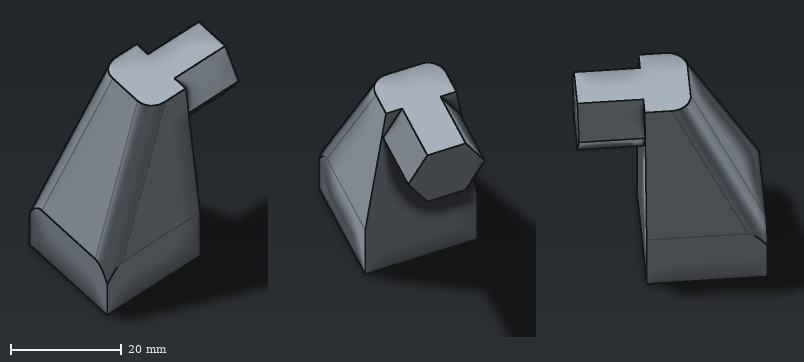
import cadquery as cq
import math

height = 43.2
body_width = 22.0
body_depth = 22.0
top_width = 13.82
top_depth = 8.6
side_break_height = 12.4
front_break_height = 12.7
corner_radius = 3.6
hex_across_flats = 13.0
hex_length = 12.0


def extend_to_base(top_size, size_at_break, break_height):
    """Size of a tapered face pair at Z = 0 when the taper continues straight down."""
    slope = (size_at_break - top_size) / (height - break_height)
    return top_size + slope * height


def tapered_body():
    """Full-height wedge with its two leaning front edges rounded."""
    base_width = extend_to_base(top_width, body_width, side_break_height)
    base_depth = extend_to_base(top_depth, body_depth, front_break_height)
    width_wedge = (
        cq.Workplane("XZ")
        .polyline([
            (-base_width / 2, 0),
            (base_width / 2, 0),
            (top_width / 2, height),
            (-top_width / 2, height),
        ])
        .close()
        .extrude(base_depth)
    )
    depth_wedge = (
        cq.Workplane("YZ")
        .polyline([(0, 0), (-base_depth, 0), (-top_depth, height), (0, height)])
        .close()
        .extrude(base_width / 2, both=True)
    )
    wedge = width_wedge.intersect(depth_wedge)
    front_corners = wedge.faces("<Y").edges("not |X")
    return front_corners.fillet(corner_radius)


def body_envelope():
    """Upright block that trims the wedge to vertical faces near the base."""
    return cq.Workplane("XY").box(
        body_width, body_depth, height, centered=(True, False, False)
    ).translate((0, -body_depth, 0))


def hex_peg():
    """Hexagonal peg on the back face, its upper flat flush with the body top."""
    across_corners = hex_across_flats / math.cos(math.pi / 6)
    return (
        cq.Workplane("XZ")
        .center(0, height - hex_across_flats / 2)
        .polygon(6, across_corners)
        .extrude(-hex_length)
    )


body = tapered_body().intersect(body_envelope())
result = body.union(hex_peg())